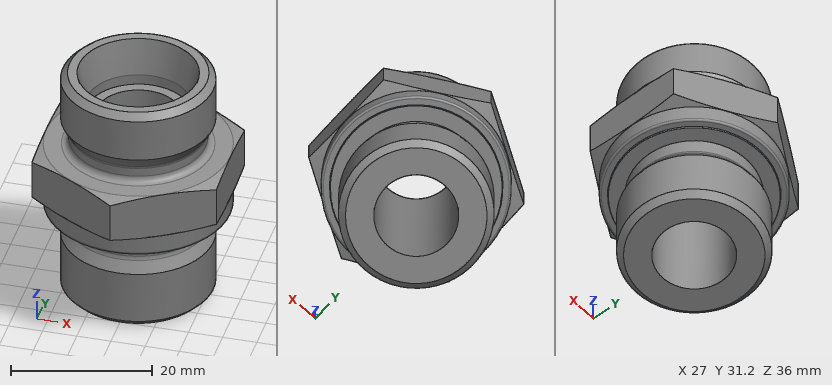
import cadquery as cq
import math

total_height = 36.0
hex_bottom = 17.0
hex_top = 24.0
collar_bottom = 14.0
lower_thread_top = 9.0
upper_thread_bottom = 28.5

thread_diameter = 22.0
neck_diameter = 19.7
collar_diameter = 26.9
hex_across_flats = 27.0

thread_end_chamfer = 1.0
thread_runout_angle = 30.0
lower_runout_radius = 1.2
upper_runout_radius = 0.8
neck_root_radius = 1.0
collar_edge_radius = 0.3
hex_chamfer_angle = 15.0

bore_diameter = 12.0
tube_diameter = 15.0
socket_mouth_diameter = 17.3
socket_depth = 7.0
socket_half_angle = 12.0

ring_inner_diameter = neck_diameter
ring_outer_diameter = 24.3
ring_height = 2.0
ring_protrusion = 0.2
recess_outer_diameter = 24.5
recess_depth = ring_height - ring_protrusion


def slope(angle):
    return math.tan(math.radians(angle))


def disc(diameter, bottom, top):
    """Cylinder on the Z axis between two heights."""
    return cq.Workplane("XY").workplane(offset=bottom).circle(diameter / 2).extrude(top - bottom)


def revolve_profile(points):
    """Solid of revolution about Z from (radius, height) points."""
    return cq.Workplane("XZ").polyline(points).close().revolve(360, (0, 0, 0), (0, 1, 0))


def threaded_end(end, thread_edge, hub, runout_radius):
    """Stub from its end face to the hub: chamfer, thread cylinder, runout cone and neck."""
    inward = math.copysign(1, hub - end)
    thread_radius = thread_diameter / 2
    neck_radius = neck_diameter / 2
    runout_length = (thread_radius - neck_radius) / slope(thread_runout_angle)
    neck_start = thread_edge + inward * runout_length
    stub = revolve_profile([
        (0, end),
        (thread_radius - thread_end_chamfer, end),
        (thread_radius, end + inward * thread_end_chamfer),
        (thread_radius, thread_edge),
        (neck_radius, neck_start),
        (neck_radius, hub),
        (0, hub),
    ])
    margin = 0.01
    neck_edge = cq.selectors.BoxSelector(
        (-thread_diameter, -thread_diameter, neck_start - margin),
        (thread_diameter, thread_diameter, neck_start + margin),
        boundingbox=True,
    )
    return stub.edges(neck_edge).fillet(runout_radius)


def chamfered_hexagon():
    """Hexagon with corners on +Y and -Y, its corners turned down by a cone at both ends."""
    half_side_angle = math.pi / 6
    corner_diameter = hex_across_flats / math.cos(half_side_angle)
    corner_radius = corner_diameter / 2
    face_radius = collar_diameter / 2
    corner_drop = (corner_radius - face_radius) * slope(hex_chamfer_angle)
    prism = (
        cq.Workplane("XY").workplane(offset=hex_bottom)
        .transformed(rotate=(0, 0, 90))
        .polygon(6, corner_diameter)
        .extrude(hex_top - hex_bottom)
    )
    envelope = revolve_profile([
        (0, hex_bottom),
        (face_radius, hex_bottom),
        (corner_radius, hex_bottom + corner_drop),
        (corner_radius, hex_top - corner_drop),
        (face_radius, hex_top),
        (0, hex_top),
    ])
    return prism.intersect(envelope)


def neck_root_fillet():
    """Concave ring blending the upper neck into the top of the hexagon."""
    neck_radius = neck_diameter / 2
    middle = neck_root_radius * (1 - math.sqrt(0.5))
    return (
        cq.Workplane("XZ")
        .moveTo(neck_radius - neck_root_radius, hex_top)
        .lineTo(neck_radius + neck_root_radius, hex_top)
        .threePointArc(
            (neck_radius + middle, hex_top + middle),
            (neck_radius, hex_top + neck_root_radius),
        )
        .lineTo(neck_radius - neck_root_radius, hex_top + neck_root_radius)
        .close()
        .revolve(360, (0, 0, 0), (0, 1, 0))
    )


def tube_socket():
    """Cutter for the upper end: mouth cone, then a straight tube seat."""
    mouth_radius = socket_mouth_diameter / 2
    tube_radius = tube_diameter / 2
    cone_depth = (mouth_radius - tube_radius) / slope(socket_half_angle)
    return revolve_profile([
        (0, total_height),
        (mouth_radius, total_height),
        (tube_radius, total_height - cone_depth),
        (tube_radius, total_height - socket_depth),
        (0, total_height - socket_depth),
    ])


def make_fitting():
    collar = disc(collar_diameter, collar_bottom, hex_bottom)
    collar = collar.faces("<Z").edges().fillet(collar_edge_radius)
    seal_recess = disc(recess_outer_diameter, collar_bottom, collar_bottom + recess_depth)
    lower_end = threaded_end(0, lower_thread_top, hex_bottom, lower_runout_radius)
    upper_end = threaded_end(total_height, upper_thread_bottom, hex_top, upper_runout_radius)
    return (
        chamfered_hexagon()
        .union(collar.cut(seal_recess))
        .union(lower_end)
        .union(upper_end)
        .union(neck_root_fillet())
        .cut(tube_socket())
        .cut(disc(bore_diameter, 0, total_height))
    )


def make_sealing_ring():
    bottom = collar_bottom - ring_protrusion
    top = bottom + ring_height
    return disc(ring_outer_diameter, bottom, top).cut(disc(ring_inner_diameter, bottom, top))


fitting = make_fitting()
sealing_ring = make_sealing_ring()
result = cq.Compound.makeCompound([fitting.val(), sealing_ring.val()])